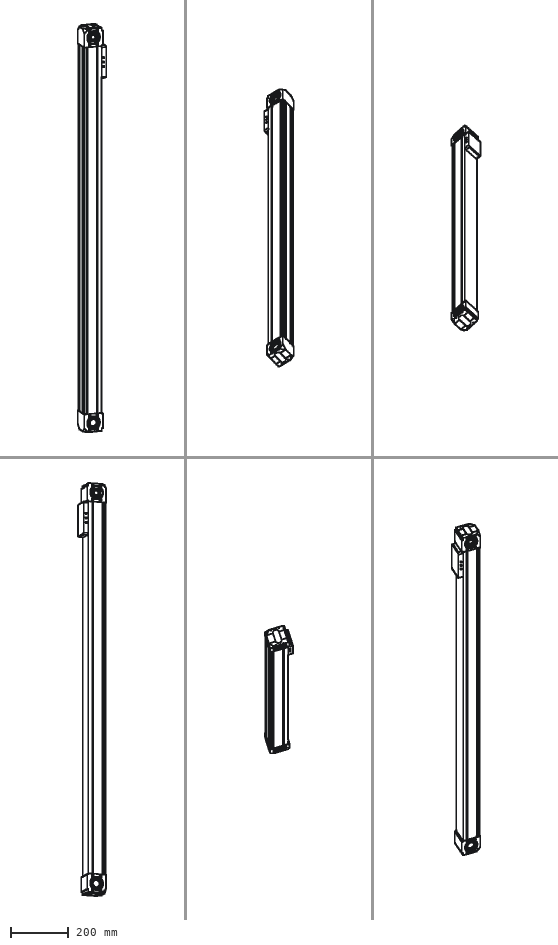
import cadquery as cq
import math

TOTAL_LENGTH = 1451.0
TOTAL_DEPTH = 83.0

CAP_WIDTH = 62.0
CAP_LENGTH = 67.0
BORE_Y = 35.0
BORE_FROM_END = 33.0
BODY_DEPTH = 65.0
BACK_PAD_HEIGHT = 5.1
BACK_PAD_LENGTH = 52.0
BACK_PAD_INSET = 3.0
END_PAD_HEIGHT = 1.0
END_PAD_WIDTH = 48.0
END_PAD_DEPTH = 22.0
END_PAD_CHAMFER = 6.0
GROOVE_WIDTH = 30.0
GROOVE_DEPTH = 1.0
CORNER_CUT = 16.0
CORNER_CUT_DEPTH = 15.0
SCREW_DIAMETER = 7.0
SCREW_DEPTH = 5.0
SCREW_CIRCLE_RADIUS = 29.0
SCREW_ANGLES = (60, 120, 240, 300)
BORE_DIAMETER = 16.0
DRIVE_SEAT_STEPS = ((48.0, 1.0), (42.0, 3.0), (29.0, 5.0), (25.0, 6.0))
IDLER_SEAT_STEPS = ((48.0, 1.0), (38.0, 3.0), (29.0, 5.0), (25.0, 6.0))

PROFILE_WIDTH = 60.0
SLOT_WIDTH = 5.0
SLOT_DEPTH = 6.0
FRONT_SLOT_OFFSET = 13.0
SIDE_SLOT_HEIGHTS = (10.9, 50.0)
CORNER_STEP_WIDTH = 5.0
CORNER_STEP_DEPTH = 2.2

CARRIAGE_LENGTH = 118.0
CARRIAGE_CORNER_CHAMFER = 6.0
CARRIAGE_EDGE_CHAMFER = 3.0
CARRIAGE_HOLE_DIAMETER = 5.0
CARRIAGE_HOLE_DEPTH = 9.0
CARRIAGE_HOLE_PITCH = 16.0
CARRIAGE_HOLE_DROP = 10.0

CAP_INNER_Z = TOTAL_LENGTH / 2 - CAP_LENGTH
CAP_END_Z = TOTAL_LENGTH / 2 - END_PAD_HEIGHT
BORE_Z = TOTAL_LENGTH / 2 - BORE_FROM_END


def box(width, y_range, z_range):
    """A block centred on X = 0 between two Y values and two Z values."""
    (y_low, y_high), (z_low, z_high) = y_range, z_range
    return cq.Workplane("XY", origin=(0, y_low, z_low)).box(
        width, y_high - y_low, z_high - z_low, centered=(True, False, False)
    )


def side_cylinder(diameter, y, z, depth, side):
    """A cylinder that goes into an end cap from its -X (side = -1) or +X (side = 1) face."""
    start = cq.Vector(side * CAP_WIDTH / 2, y, z)
    return cq.Workplane(cq.Solid.makeCylinder(diameter / 2, depth, start, cq.Vector(-side, 0, 0)))


def cap_blank():
    """Body of the upper end cap with its pads and end groove."""
    body = box(CAP_WIDTH, (0, BODY_DEPTH), (CAP_INNER_Z, CAP_END_Z))
    groove = box(GROOVE_WIDTH, (0, BODY_DEPTH), (CAP_END_Z - GROOVE_DEPTH, CAP_END_Z))
    back_pad_z = CAP_INNER_Z + BACK_PAD_INSET
    back_pad = box(
        CAP_WIDTH,
        (BODY_DEPTH, BODY_DEPTH + BACK_PAD_HEIGHT),
        (back_pad_z, back_pad_z + BACK_PAD_LENGTH),
    )
    end_pad = (
        box(
            END_PAD_WIDTH,
            (BORE_Y - END_PAD_DEPTH / 2, BORE_Y + END_PAD_DEPTH / 2),
            (CAP_END_Z - GROOVE_DEPTH, TOTAL_LENGTH / 2),
        )
        .edges("|Z")
        .chamfer(END_PAD_CHAMFER)
    )
    return body.cut(groove).union(back_pad).union(end_pad)


def corner_cutter(side):
    """Tool that bevels a front corner of the end face, on the side = -1 or +1 side."""
    centre = (
        side * (CAP_WIDTH / 2 - CORNER_CUT / 3),
        CORNER_CUT_DEPTH / 3,
        CAP_END_Z - CORNER_CUT / 3,
    )
    outward = (side / CORNER_CUT, -1 / CORNER_CUT_DEPTH, 1 / CORNER_CUT)
    bevel = cq.Workplane(cq.Plane(origin=centre, normal=outward))
    reach = 2 * CORNER_CUT
    return bevel.rect(2 * reach, 2 * reach).extrude(reach)


def upper_cap(seat_steps):
    """End cap at the upper end, with the same seat and screw holes on both sides."""
    cap = cap_blank()
    for side in (-1, 1):
        cap = cap.cut(corner_cutter(side))
        for diameter, depth in seat_steps:
            cap = cap.cut(side_cylinder(diameter, BORE_Y, BORE_Z, depth, side))
        for angle in SCREW_ANGLES:
            y = BORE_Y + SCREW_CIRCLE_RADIUS * math.cos(math.radians(angle))
            z = BORE_Z + SCREW_CIRCLE_RADIUS * math.sin(math.radians(angle))
            cap = cap.cut(side_cylinder(SCREW_DIAMETER, y, z, SCREW_DEPTH, side))
    return cap


def make_drive_cap():
    """Upper end cap, with the drive bore right through it."""
    bore = side_cylinder(BORE_DIAMETER, BORE_Y, BORE_Z, CAP_WIDTH, -1)
    return upper_cap(DRIVE_SEAT_STEPS).cut(bore)


def make_idler_cap():
    """Lower end cap, the mirror of the upper one but with closed seats."""
    return upper_cap(IDLER_SEAT_STEPS).mirror("XY")


def make_profile():
    """Slotted profile between the end caps."""
    half_width = PROFILE_WIDTH / 2
    z_range = (-CAP_INNER_Z, CAP_INNER_Z)
    profile = box(PROFILE_WIDTH, (0, BODY_DEPTH), z_range)
    front_slot = box(SLOT_WIDTH, (0, SLOT_DEPTH), z_range)
    corner_step = box(2 * CORNER_STEP_WIDTH, (0, CORNER_STEP_DEPTH), z_range)
    for side in (-1, 1):
        profile = profile.cut(front_slot.translate((side * FRONT_SLOT_OFFSET, 0, 0)))
        profile = profile.cut(corner_step.translate((side * half_width, 0, 0)))
        for height in SIDE_SLOT_HEIGHTS:
            side_slot = box(2 * SLOT_DEPTH, (height - SLOT_WIDTH / 2, height + SLOT_WIDTH / 2), z_range)
            profile = profile.cut(side_slot.translate((side * half_width, 0, 0)))
    return profile


def make_carriage():
    """Carriage plate on the back of the profile, against the upper end cap."""
    middle_z = CAP_INNER_Z - CARRIAGE_LENGTH / 2
    carriage = (
        box(PROFILE_WIDTH, (BODY_DEPTH, TOTAL_DEPTH), (CAP_INNER_Z - CARRIAGE_LENGTH, CAP_INNER_Z))
        .edges("|Y")
        .chamfer(CARRIAGE_CORNER_CHAMFER)
        .edges(">Y and |X")
        .chamfer(CARRIAGE_EDGE_CHAMFER)
    )
    hole_y = TOTAL_DEPTH - CARRIAGE_HOLE_DROP
    for step in (-1, 0, 1):
        for side in (-1, 1):
            mouth = cq.Vector(side * PROFILE_WIDTH / 2, hole_y, middle_z + step * CARRIAGE_HOLE_PITCH)
            hole = cq.Solid.makeCylinder(
                CARRIAGE_HOLE_DIAMETER / 2, CARRIAGE_HOLE_DEPTH, mouth, cq.Vector(-side, 0, 0)
            )
            carriage = carriage.cut(cq.Workplane(hole))
    return carriage


profile = make_profile()
drive_cap = make_drive_cap()
idler_cap = make_idler_cap()
carriage = make_carriage()

result = cq.Compound.makeCompound([profile.val(), drive_cap.val(), idler_cap.val(), carriage.val()])